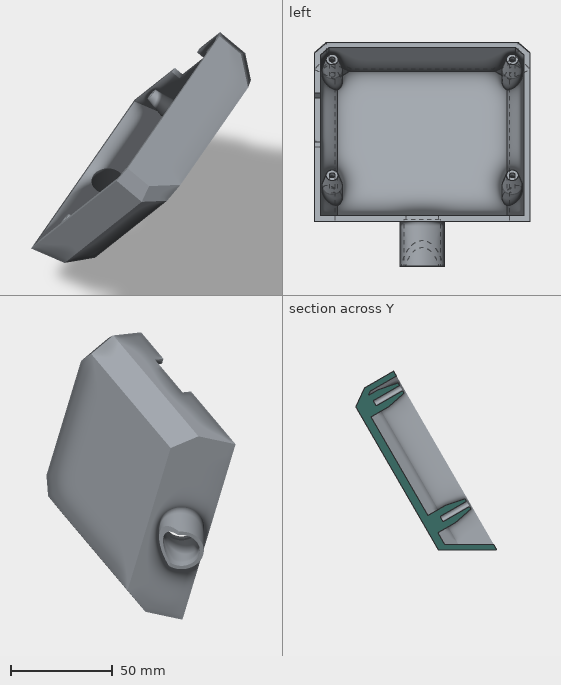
import cadquery as cq
import math

TILT = 60.0
WIDTH = 106.0
SLOPE_LENGTH = 101.7
DEPTH = 26.3
WALL = 3.0
BACK_BEVEL = 10.0
CORNER_CHAMFER = 5.9

NOTCH_START = 45.1
NOTCH_LENGTH = 28.0
NOTCH_DEPTH = 5.0

POST_SPACING_Y = 88.5
POST_LOW = 26.8
POST_PITCH = 65.7
POST_RECESS = 1.0
POST_TIP_DIAMETER = 5.9
POST_DIAMETER = 10.0
POST_CONE_LENGTH = 10.0
SCREW_DIAMETER = 2.8
SCREW_DEPTH = 15.0

OVERALL_HEIGHT = 110.0
TUBE_X = 14.0
TUBE_DIAMETER = 22.0
TUBE_BORE = 18.0
BORE_INTO_FLOOR = 1.0
FLOOR_HOLE = 16.0

SIN_TILT = math.sin(math.radians(TILT))
COS_TILT = math.cos(math.radians(TILT))
UP_SLOPE = (COS_TILT, 0, SIN_TILT)
INWARD = (SIN_TILT, 0, -COS_TILT)
BOX_HEIGHT = SLOPE_LENGTH * SIN_TILT
TUBE_LENGTH = OVERALL_HEIGHT - BOX_HEIGHT
SURPLUS = 55.0


def section_plane(up):
    """Plane across the slope: local x runs inward from the open face, local y along +Y."""
    origin = (up * COS_TILT, 0, up * SIN_TILT)
    return cq.Plane(origin=origin, xDir=INWARD, normal=UP_SLOPE)


def face_plane(deep):
    """Plane parallel to the open face: local x runs up the slope, local y along +Y."""
    origin = (deep * SIN_TILT, 0, -deep * COS_TILT)
    return cq.Plane(origin=origin, xDir=UP_SLOPE, normal=(-SIN_TILT, 0, COS_TILT))


def leaning_hull(inset):
    """Box shape with every face except the open one moved inward by inset."""
    half_width = WIDTH / 2 - inset
    depth = DEPTH - inset
    bevel_loss = inset * (2 - math.sqrt(2))
    bevel = BACK_BEVEL - bevel_loss
    hull = (
        cq.Workplane(section_plane(-SURPLUS))
        .polyline([
            (0, -half_width),
            (depth - bevel, -half_width),
            (depth, bevel - half_width),
            (depth, half_width - bevel),
            (depth - bevel, half_width),
            (0, half_width),
        ])
        .close()
        .extrude(SURPLUS + SLOPE_LENGTH - inset)
    )
    end_edges = hull.faces(">Z").edges().filter(lambda edge: abs(edge.Center().y) > half_width - bevel)
    hull = hull.newObject(end_edges.vals()).chamfer(CORNER_CHAMFER - bevel_loss)
    above_floor = (
        cq.Workplane("XY", origin=(0, 0, inset))
        .rect(4 * OVERALL_HEIGHT, 2 * WIDTH)
        .extrude(2 * OVERALL_HEIGHT)
    )
    return hull.intersect(above_floor)


def post_centres(plane):
    """Workplane with the four post positions on its stack."""
    middle = POST_LOW + POST_PITCH / 2
    return cq.Workplane(plane).center(middle, 0).rarray(POST_PITCH, POST_SPACING_Y, 2, 2)


def posts():
    """Tapered posts, trimmed within the wall thickness where they meet the shell."""
    profile = [
        (0, 0),
        (POST_TIP_DIAMETER / 2, 0),
        (POST_DIAMETER / 2, -POST_CONE_LENGTH),
        (POST_DIAMETER / 2, -DEPTH),
        (0, -DEPTH),
    ]
    post = cq.Workplane("XZ").polyline(profile).close().revolve(360, (0, 0), (0, 1)).val()
    placed = post_centres(face_plane(POST_RECESS)).eachpoint(post, combine=False, useLocalCoordinates=True)
    return placed.intersect(leaning_hull(WALL / 2))


def screw_holes():
    """Blind holes down the middle of the posts."""
    return post_centres(face_plane(POST_RECESS)).circle(SCREW_DIAMETER / 2).extrude(-SCREW_DEPTH)


def notch():
    """Cutter through the +Y wall at the open rim."""
    return (
        cq.Workplane(face_plane(0))
        .center(NOTCH_START + NOTCH_LENGTH / 2, WIDTH / 2)
        .rect(NOTCH_LENGTH, 2 * WALL)
        .extrude(-NOTCH_DEPTH)
    )


def tube():
    """Vertical tube, its lower end cut off flush with the plane of the box back."""
    body = cq.Workplane("XY").center(TUBE_X, 0).circle(TUBE_DIAMETER / 2).extrude(-TUBE_LENGTH)
    in_front_of_back = (
        cq.Workplane(section_plane(-SURPLUS))
        .rect(2 * DEPTH, WIDTH)
        .extrude(2 * SURPLUS)
    )
    return body.intersect(in_front_of_back)


def tube_bore():
    """Cutter for the wide bore and the narrower hole through the floor."""
    bottom = cq.Workplane("XY", origin=(TUBE_X, 0, -TUBE_LENGTH))
    wide = bottom.circle(TUBE_BORE / 2).extrude(TUBE_LENGTH + BORE_INTO_FLOOR)
    narrow = bottom.circle(FLOOR_HOLE / 2).extrude(TUBE_LENGTH + WALL)
    return wide.union(narrow)


shell = leaning_hull(0).cut(leaning_hull(WALL)).cut(notch())
result = shell.union(posts()).cut(screw_holes()).union(tube()).cut(tube_bore())